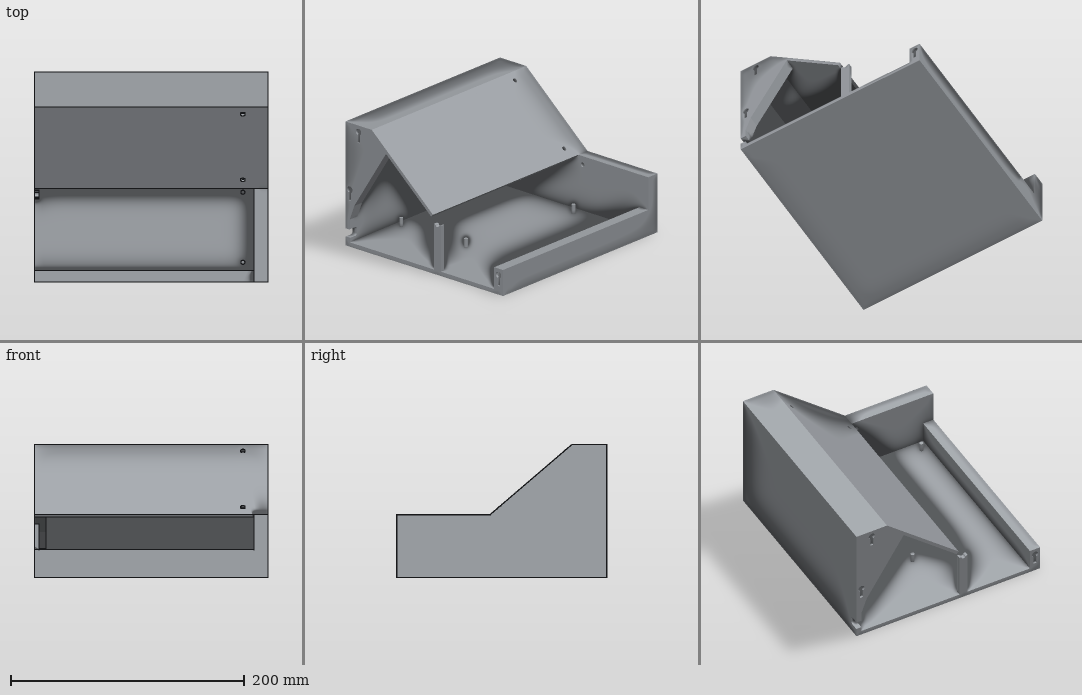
import cadquery as cq
import math

LENGTH = 200.0
DEPTH = 180.0
HEIGHT = 114.0
SIDE_HEIGHT = 54.0
TOP_DEPTH = 30.0
SLOPE_FOOT_Y = 80.0

FLOOR = 4.0
REAR_WALL = 5.0
TOP_WALL = 5.0
PANEL = 3.0
SIDE_WALL = 12.0
FRONT_WALL = 10.0
FRONT_WALL_TOP = 24.0

RIB_THICKNESS = 10.0
RIB_FOOT_Z = 25.0
RIB_BEND_Y = 170.0
RIB_BEND_Z = 38.8
RIB_TIP_Y = 133.7

KEYHOLE_CENTRES = [(165.0, 108.0), (175.0, 52.5), (FRONT_WALL / 2, 18.0)]
KEYHOLE_HEAD_DIA = 6.0
KEYHOLE_SLOT_WIDTH = 3.0
KEYHOLE_DROP = 10.0
KEYHOLE_DEPTH = 2.0

ROD_DIA = 4.0
BEVEL_WIDTH = 1.0
BEVEL_DEPTH = 0.5
ROD_Y = 75.0
ROD_Z = 46.0
ROD_HOLE_DEPTH = 8.0
POST_WIDTH = 8.0
POST_THICKNESS = 4.0

PEG_HEIGHT = 8.0
FIXING_X = 178.5
REAR_PEG_X = 57.5
PEGS = [
    (FIXING_X, 17.0, 3.5),
    (FIXING_X, 77.0, 3.5),
    (REAR_PEG_X, 93.0, 3.5),
    (REAR_PEG_X, 167.0, 3.0),
]

PANEL_HOLE_DIA = 4.0
PANEL_HOLE_DISTANCES = [10.0, 84.0]

NOTCH_END_X = 9.0
NOTCH_OVERRUN = 1.0
NOTCH_BOTTOM = 8.0
NOTCH_HEIGHT = 8.0
NOTCH_RADIUS = 2.0

SLOPE_TOP_Y = DEPTH - TOP_DEPTH
SLOPE_RUN = SLOPE_TOP_Y - SLOPE_FOOT_Y
SLOPE_RISE = HEIGHT - SIDE_HEIGHT
SLOPE_LENGTH = math.hypot(SLOPE_RUN, SLOPE_RISE)
SLOPE_COS = SLOPE_RUN / SLOPE_LENGTH
SLOPE_SIN = SLOPE_RISE / SLOPE_LENGTH
PANEL_EDGE_Y = SLOPE_FOOT_Y + PANEL * SLOPE_SIN
PANEL_EDGE_Z = SIDE_HEIGHT - PANEL * SLOPE_COS


def panel_underside_z(y):
    return PANEL_EDGE_Z + (y - PANEL_EDGE_Y) * SLOPE_RISE / SLOPE_RUN


def panel_underside_y(z):
    return PANEL_EDGE_Y + (z - PANEL_EDGE_Z) * SLOPE_RUN / SLOPE_RISE


def end_profile(points, x_start, x_length):
    """Extrude a closed (Y, Z) outline along +X from x_start."""
    return cq.Workplane("YZ", origin=(x_start, 0, 0)).polyline(points).close().extrude(x_length)


def housing():
    outline = [
        (0, 0),
        (DEPTH, 0),
        (DEPTH, HEIGHT),
        (SLOPE_TOP_Y, HEIGHT),
        (SLOPE_FOOT_Y, SIDE_HEIGHT),
        (0, SIDE_HEIGHT),
    ]
    ceiling = HEIGHT - TOP_WALL
    rear_inside = DEPTH - REAR_WALL
    cavity = [
        (FRONT_WALL, FLOOR),
        (rear_inside, FLOOR),
        (rear_inside, ceiling),
        (panel_underside_y(ceiling), ceiling),
        (PANEL_EDGE_Y, PANEL_EDGE_Z),
        (SLOPE_FOOT_Y, SIDE_HEIGHT),
        (0, SIDE_HEIGHT),
        (0, FRONT_WALL_TOP),
        (FRONT_WALL, FRONT_WALL_TOP),
    ]
    return end_profile(outline, 0, LENGTH).cut(end_profile(cavity, 0, LENGTH - SIDE_WALL))


def rib():
    outline = [
        (DEPTH, RIB_FOOT_Z),
        (DEPTH, HEIGHT),
        (SLOPE_TOP_Y, HEIGHT),
        (RIB_TIP_Y, panel_underside_z(RIB_TIP_Y)),
        (RIB_BEND_Y, RIB_BEND_Z),
        (DEPTH - REAR_WALL, RIB_FOOT_Z),
    ]
    return end_profile(outline, 0, RIB_THICKNESS)


def post():
    blank = cq.Workplane("XY").box(POST_THICKNESS, POST_WIDTH, ROD_Z, centered=(False, True, False))
    return blank.translate((0, ROD_Y, 0))


def peg(x, y, diameter):
    return cq.Workplane("XY", origin=(x, y, 0)).circle(diameter / 2).extrude(FLOOR + PEG_HEIGHT)


def rod_bore(x_start, x_length):
    return cq.Workplane("YZ", origin=(x_start, ROD_Y, ROD_Z)).circle(ROD_DIA / 2).extrude(x_length)


def rod_groove():
    """Half-round seat across the post top, with a shallow bevel along both edges."""
    half_mouth = ROD_DIA / 2 + BEVEL_WIDTH
    half_seat = math.sqrt((ROD_DIA / 2) ** 2 - BEVEL_DEPTH**2)
    bevel = [
        (ROD_Y - half_mouth, ROD_Z),
        (ROD_Y + half_mouth, ROD_Z),
        (ROD_Y + half_seat, ROD_Z - BEVEL_DEPTH),
        (ROD_Y - half_seat, ROD_Z - BEVEL_DEPTH),
    ]
    return rod_bore(0, POST_THICKNESS).union(end_profile(bevel, 0, POST_THICKNESS))


def keyhole(y, z):
    plane = cq.Workplane("YZ", origin=(0, y, z))
    head = plane.circle(KEYHOLE_HEAD_DIA / 2).extrude(KEYHOLE_DEPTH)
    slot = plane.center(0, -KEYHOLE_DROP / 2).rect(KEYHOLE_SLOT_WIDTH, KEYHOLE_DROP).extrude(KEYHOLE_DEPTH)
    return head.union(slot)


def panel_hole(distance):
    """Bore square to the sloping panel, from its outer face."""
    centre = (FIXING_X, SLOPE_FOOT_Y + distance * SLOPE_COS, SIDE_HEIGHT + distance * SLOPE_SIN)
    inward = (0, SLOPE_SIN, -SLOPE_COS)
    plane = cq.Plane(origin=centre, xDir=(1, 0, 0), normal=inward)
    return cq.Workplane(plane).circle(PANEL_HOLE_DIA / 2).extrude(PANEL * 2)


def cable_notch():
    """Rounded slot through the rear wall, breaking out through the open end."""
    blank = cq.Workplane("XY").box(NOTCH_OVERRUN + NOTCH_END_X, REAR_WALL, NOTCH_HEIGHT, centered=False)
    rounded = blank.edges("|Y").fillet(NOTCH_RADIUS)
    return rounded.translate((-NOTCH_OVERRUN, DEPTH - REAR_WALL, NOTCH_BOTTOM))


body = housing().union(rib()).union(post())
for x, y, diameter in PEGS:
    body = body.union(peg(x, y, diameter))

body = body.cut(rod_groove())
body = body.cut(rod_bore(LENGTH - SIDE_WALL, ROD_HOLE_DEPTH))
for y, z in KEYHOLE_CENTRES:
    body = body.cut(keyhole(y, z))
for distance in PANEL_HOLE_DISTANCES:
    body = body.cut(panel_hole(distance))

result = body.cut(cable_notch())